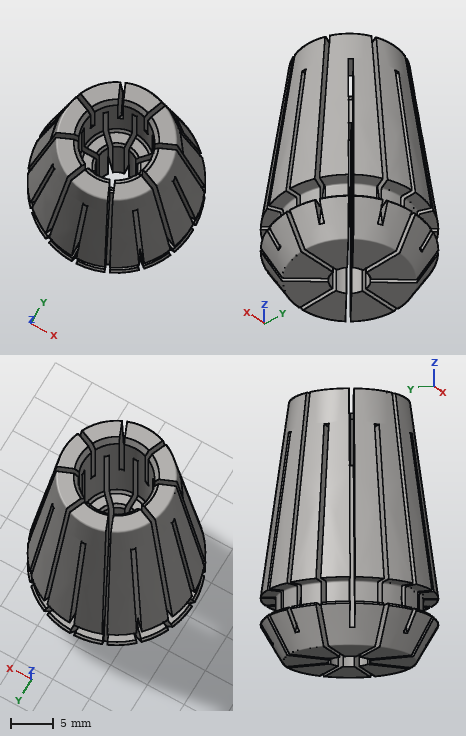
import cadquery as cq
import math

overall_length = 31.5
max_radius = 10.5

taper_base_z = 7.67
taper_angle = 8.0
rear_edge_radius = 0.25

groove_radius = 8.7
groove_corner_radius = 0.2
flange_top_z = 4.77
flange_rim_z = 4.45
flange_rim_radius = 10.5
flange_rim_chamfer = 0.3
nose_angle = 30.0
nose_edge_radius = 0.2

tool_hole_radius = 2.5
tool_hole_chamfer = 0.37
relief_radius = 4.5
relief_floor_z = 16.0
relief_floor_chamfer = 0.37
relief_mouth_chamfer = 0.55
relief_mouth_depth = 0.9

slot_count = 8
slot_width = 0.6
slot_pitch = 360.0 / slot_count
nose_slot_end_z = 27.1
rear_slot_floor_z = 2.07
rear_slot_floor_radius = 9.0
rear_slot_floor_angle = 12.3
slot_overrun = 1.0
bore_overlap = 0.5


def make_body():
    """Revolve the outer profile of the collet about Z."""
    rear_radius = max_radius - (overall_length - taper_base_z) * math.tan(math.radians(taper_angle))
    nose_radius = flange_rim_radius - flange_rim_z * math.tan(math.radians(nose_angle))
    corner = groove_corner_radius
    body = (
        cq.Workplane("XZ")
        .moveTo(0, 0)
        .lineTo(nose_radius, 0)
        .lineTo(flange_rim_radius, flange_rim_z)
        .lineTo(flange_rim_radius - flange_rim_chamfer, flange_top_z)
        .lineTo(groove_radius + corner, flange_top_z)
        .radiusArc((groove_radius, flange_top_z + corner), corner)
        .lineTo(groove_radius, taper_base_z - corner)
        .radiusArc((groove_radius + corner, taper_base_z), corner)
        .lineTo(max_radius, taper_base_z)
        .lineTo(rear_radius, overall_length)
        .lineTo(0, overall_length)
        .close()
        .revolve(360, (0, 0, 0), (0, 1, 0))
    )
    body = body.faces(">Z").edges().fillet(rear_edge_radius)
    return body.faces("<Z").edges().fillet(nose_edge_radius)


def make_bore():
    """Revolve the stepped bore with its chamfered shoulders."""
    return (
        cq.Workplane("XZ")
        .moveTo(0, 0)
        .lineTo(tool_hole_radius, 0)
        .lineTo(tool_hole_radius, relief_floor_z - tool_hole_chamfer)
        .lineTo(tool_hole_radius + tool_hole_chamfer, relief_floor_z)
        .lineTo(relief_radius - relief_floor_chamfer, relief_floor_z)
        .lineTo(relief_radius, relief_floor_z + relief_floor_chamfer)
        .lineTo(relief_radius, overall_length - relief_mouth_depth)
        .lineTo(relief_radius + relief_mouth_chamfer, overall_length)
        .lineTo(0, overall_length)
        .close()
        .revolve(360, (0, 0, 0), (0, 1, 0))
    )


def make_radial_slot(points, angle):
    """Extrude a slot outline in the radius-height plane and turn it about Z."""
    return (
        cq.Workplane("XZ")
        .polyline(points)
        .close()
        .extrude(slot_width / 2, both=True)
        .rotate((0, 0, 0), (0, 0, 1), angle)
    )


def nose_slot_outline():
    """Slot reaching from the nose face up to a flat end inside the taper."""
    outer = max_radius + slot_overrun
    return [(0, -slot_overrun), (outer, -slot_overrun), (outer, nose_slot_end_z), (0, nose_slot_end_z)]


def rear_slot_outline():
    """Slot open at the rear, with a floor sloping from the relief bore out to the nose cone."""
    inner = relief_radius - bore_overlap
    outer = max_radius + slot_overrun
    rise_per_radius = 1 / math.tan(math.radians(rear_slot_floor_angle))
    inner_z = rear_slot_floor_z + (rear_slot_floor_radius - inner) * rise_per_radius
    outer_z = rear_slot_floor_z + (rear_slot_floor_radius - outer) * rise_per_radius
    top_z = overall_length + slot_overrun
    return [(inner, inner_z), (outer, outer_z), (outer, top_z), (inner, top_z)]


result = make_body().cut(make_bore())
for index in range(slot_count):
    nose_slot_angle = index * slot_pitch
    result = result.cut(make_radial_slot(nose_slot_outline(), nose_slot_angle))
    result = result.cut(make_radial_slot(rear_slot_outline(), nose_slot_angle + slot_pitch / 2))